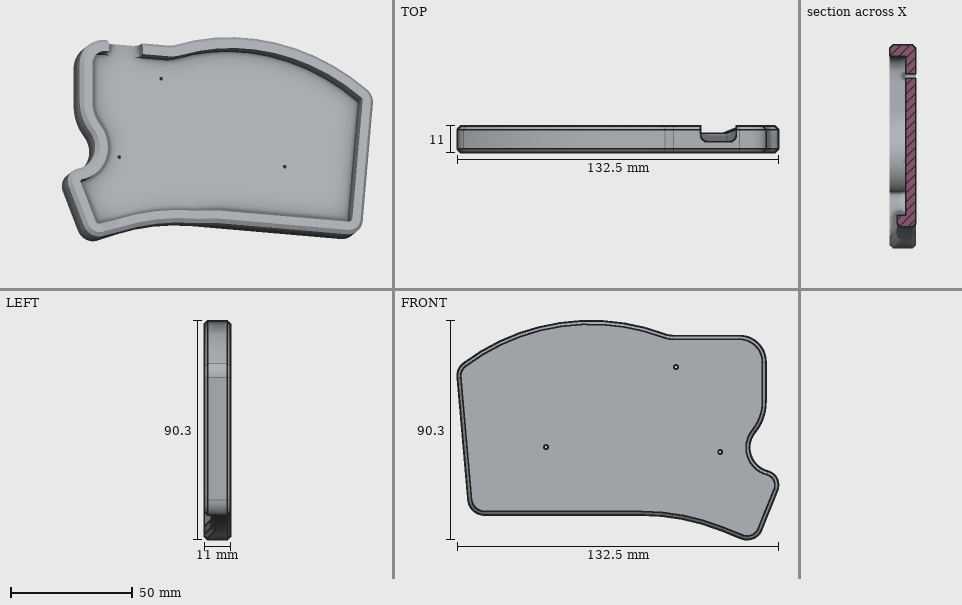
import cadquery as cq
import math

THICKNESS = 11.0
CHAMFER = 1.5
RIM_WIDTH = 5.0
POCKET_DEPTH = 6.5

LEFT_FOOT_X = 5.05
LEFT_LEAN = math.radians(5)
CROWN_X = 55.1
CROWN_TOP_Z = 80.17
CROWN_RADIUS = 87.0
SHOULDER_Z = 74.0
RIGHT_X = 127.4
SCALLOP_X = 130.65
SCALLOP_Z = 27.8
SCALLOP_RADIUS = 10.0
TOE_TILT = math.radians(22)
TOE_LENGTH = 15.0
SOLE_START_X = 75.9
SOLE_RADIUS = 89.0

LEFT_TOP_FILLET = 6.5
LEFT_BOTTOM_FILLET = 7.0
CROWN_FILLET = 10.0
SHOULDER_FILLET = 11.0
SCALLOP_UPPER_FILLET = 20.0
TOE_TOP_FILLET = 6.0
TOE_BOTTOM_FILLET = 6.5

NOTCH_CENTER_X = 107.8
NOTCH_WIDTH = 14.8
NOTCH_FILLET = 3.0
RELIEF_DEPTH = 3.0
RELIEF_RAMP = 8.0
RELIEF_REACH = 8.0

PIN_HOLE_DIAMETER = 1.6
PIN_HOLES = [(90.3, 61.0), (36.7, 28.0), (108.5, 26.0)]

toe_along = (math.cos(TOE_TILT), -math.sin(TOE_TILT))
toe_up = (math.sin(TOE_TILT), math.cos(TOE_TILT))


def shift(point, direction, distance):
    return (point[0] + direction[0] * distance, point[1] + direction[1] * distance)


def crown_height(x):
    center_z = CROWN_TOP_Z - CROWN_RADIUS
    return center_z + math.sqrt(CROWN_RADIUS**2 - (x - CROWN_X) ** 2)


def sole_point(angle):
    """Point on the concave sole arc, at an angle from its level start."""
    return (
        SOLE_START_X + SOLE_RADIUS * math.sin(angle),
        -SOLE_RADIUS * (1 - math.cos(angle)),
    )


def left_top_corner():
    """Where the leaning left edge, carried up from the flat bottom, meets the crown arc."""
    offset_x = LEFT_FOOT_X - CROWN_X
    offset_z = CROWN_RADIUS - CROWN_TOP_Z
    lean_x, lean_z = -math.sin(LEFT_LEAN), math.cos(LEFT_LEAN)
    half_b = offset_x * lean_x + offset_z * lean_z
    c = offset_x**2 + offset_z**2 - CROWN_RADIUS**2
    length = -half_b + math.sqrt(half_b**2 - c)
    return shift((LEFT_FOOT_X, 0.0), (lean_x, lean_z), length)


def toe_scallop_corner():
    """Where the toe's end edge meets the scallop circle."""
    offset_x = toe_corner[0] - SCALLOP_X
    offset_z = toe_corner[1] - SCALLOP_Z
    half_b = offset_x * toe_up[0] + offset_z * toe_up[1]
    c = offset_x**2 + offset_z**2 - SCALLOP_RADIUS**2
    length = -half_b - math.sqrt(half_b**2 - c)
    return shift(toe_corner, toe_up, length)


left_bottom = (LEFT_FOOT_X, 0.0)
left_top = left_top_corner()
crown_drop = SHOULDER_Z - (CROWN_TOP_Z - CROWN_RADIUS)
crown_end = (CROWN_X + math.sqrt(CROWN_RADIUS**2 - crown_drop**2), SHOULDER_Z)
shoulder = (RIGHT_X, SHOULDER_Z)
scallop_rise = math.sqrt(SCALLOP_RADIUS**2 - (SCALLOP_X - RIGHT_X) ** 2)
scallop_top = (RIGHT_X, SCALLOP_Z + scallop_rise)
sole_start = sole_point(0.0)
sole_end = sole_point(TOE_TILT)
toe_corner = shift(sole_end, toe_along, TOE_LENGTH)
toe_top = toe_scallop_corner()

corner_fillets = [
    (left_bottom, LEFT_BOTTOM_FILLET),
    (left_top, LEFT_TOP_FILLET),
    (crown_end, CROWN_FILLET),
    (shoulder, SHOULDER_FILLET),
    (scallop_top, SCALLOP_UPPER_FILLET),
    (toe_top, TOE_TOP_FILLET),
    (toe_corner, TOE_BOTTOM_FILLET),
]


def plane_at(y):
    """Sketch plane at depth y with X right, Z up; extrusion runs toward +Y for negative lengths."""
    return cq.Workplane("XZ", origin=(0, y, 0))


def make_blank():
    blank = (
        plane_at(0)
        .moveTo(*left_bottom)
        .lineTo(*left_top)
        .threePointArc((CROWN_X, crown_height(CROWN_X)), crown_end)
        .lineTo(*shoulder)
        .lineTo(*scallop_top)
        .threePointArc((SCALLOP_X - SCALLOP_RADIUS, SCALLOP_Z), toe_top)
        .lineTo(*toe_corner)
        .lineTo(*sole_end)
        .threePointArc(sole_point(TOE_TILT / 2), sole_start)
        .close()
        .extrude(-THICKNESS)
    )
    for (x, z), radius in corner_fillets:
        corner = cq.selectors.NearestToPointSelector((x, THICKNESS / 2, z))
        blank = blank.edges("|Y").edges(corner).fillet(radius)
    return blank


def make_level_relief(blank):
    """Level stretch of the relief along the sole arc, leaving a chamfered floor edge."""
    floor_y = THICKNESS - RELIEF_DEPTH
    stretch = (
        plane_at(floor_y - CHAMFER)
        .polyline(
            [
                shift(sole_start, (0, 1), RELIEF_REACH),
                shift(sole_start, (0, 1), -RELIEF_REACH),
                shift(sole_end, toe_up, -RELIEF_REACH),
                shift(sole_end, toe_up, RELIEF_REACH),
            ]
        )
        .close()
        .extrude(-RELIEF_DEPTH - CHAMFER)
    )
    thin_plate = blank.translate((0, -RELIEF_DEPTH, 0)).faces(">Y").chamfer(CHAMFER)
    return stretch.cut(thin_plate)


def make_ramp(start, along, inward):
    """Ramp from the relief floor out to the back face, with its outer edge chamfered.

    Each section across the ramp is the same, so both cuts are profiles swept up the slope.
    """
    slope = cq.Vector(along[0] * RELIEF_RAMP, RELIEF_DEPTH, along[1] * RELIEF_RAMP)

    def sweep_up_slope(profile):
        points = []
        for reach, rise in profile:
            x, z = shift(start, inward, reach)
            points.append(cq.Vector(x, THICKNESS - RELIEF_DEPTH + rise, z))
        wire = cq.Wire.makePolygon(points, close=True)
        return cq.Workplane(cq.Solid.extrudeLinear(wire, [], slope))

    floor_cut = sweep_up_slope(
        [
            (-RELIEF_REACH, 0),
            (RELIEF_REACH, 0),
            (RELIEF_REACH, RELIEF_DEPTH),
            (-RELIEF_REACH, RELIEF_DEPTH),
        ]
    )
    chamfer_cut = sweep_up_slope(
        [
            (-CHAMFER, -2 * CHAMFER),
            (2 * CHAMFER, CHAMFER),
            (-CHAMFER, CHAMFER),
        ]
    )
    return floor_cut.union(chamfer_cut)


def make_pocket(blank):
    """Back pocket that leaves a rim of even width inside the outline."""
    back_outline = blank.faces(">Y").wires().toPending()
    return back_outline.offset2D(-RIM_WIDTH).extrude(POCKET_DEPTH, combine=False)


def make_notch():
    """Slot through the top rim, down to the pocket floor, with rounded floor corners."""
    margin = RIM_WIDTH / 2
    floor_z = SHOULDER_Z - RIM_WIDTH - margin
    return (
        cq.Workplane("XY", origin=(NOTCH_CENTER_X, THICKNESS, floor_z))
        .rect(NOTCH_WIDTH, 2 * POCKET_DEPTH)
        .extrude(RIM_WIDTH + 2 * margin)
        .edges("|Z")
        .fillet(NOTCH_FILLET)
    )


def make_pin_holes():
    return (
        plane_at(0)
        .pushPoints(PIN_HOLES)
        .circle(PIN_HOLE_DIAMETER / 2)
        .extrude(-THICKNESS)
    )


blank = make_blank()
body = blank.faces("<Y or >Y").chamfer(CHAMFER)
body = body.cut(make_level_relief(blank))
body = body.cut(make_ramp(sole_start, (-1, 0), (0, 1)))
body = body.cut(make_ramp(sole_end, toe_along, toe_up))
body = body.cut(make_pocket(blank))
body = body.cut(make_notch())
result = body.cut(make_pin_holes())